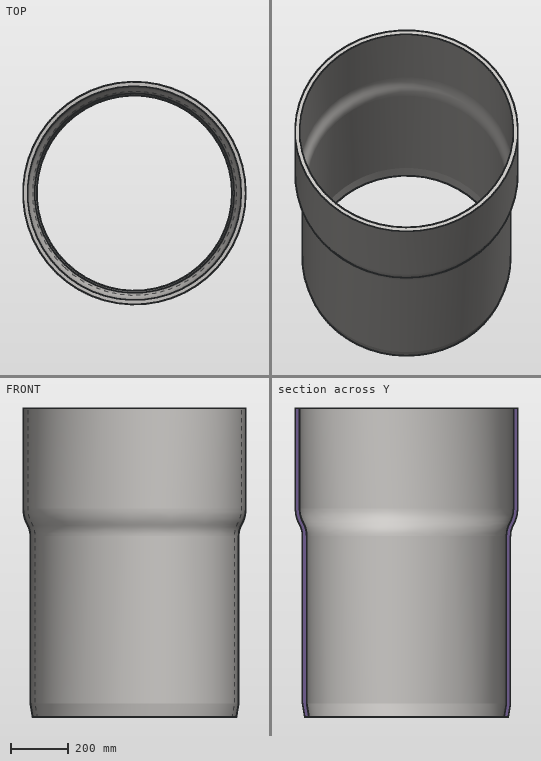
import cadquery as cq
import math

total_height = 1080.0
socket_outer_radius = 780.0 / 2
barrel_outer_radius = 730.0 / 2
wall = 16.0
socket_depth = 350.0
shoulder_radius = 120.0
neck_radius = 80.0
tip_taper_height = 47.0
tip_taper_inset = wall / 2

tip_outer_radius = barrel_outer_radius - tip_taper_inset

radius_step = socket_outer_radius - barrel_outer_radius
bend_angle = math.acos(1 - radius_step / (shoulder_radius + neck_radius))

shoulder_top = total_height - socket_depth
bend_height = (shoulder_radius + neck_radius) * math.sin(bend_angle)
neck_bottom = shoulder_top - bend_height
shoulder_center_radius = socket_outer_radius - shoulder_radius
neck_center_radius = barrel_outer_radius + neck_radius


def shoulder_point(arc_radius, angle):
    """Point on the shoulder bend, at an angle turned down from its top end."""
    return (
        shoulder_center_radius + arc_radius * math.cos(angle),
        shoulder_top - arc_radius * math.sin(angle),
    )


def neck_point(arc_radius, angle):
    """Point on the neck bend, at an angle turned up from its bottom end."""
    return (
        neck_center_radius - arc_radius * math.cos(angle),
        neck_bottom + arc_radius * math.sin(angle),
    )


def wall_profile():
    """Half section of the pipe wall in the radius-height plane."""
    half_bend = bend_angle / 2
    shoulder_inner = shoulder_radius - wall
    neck_inner = neck_radius + wall
    return (
        cq.Workplane("XZ")
        .moveTo(tip_outer_radius - wall, 0)
        .lineTo(tip_outer_radius, 0)
        .lineTo(barrel_outer_radius, tip_taper_height)
        .lineTo(*neck_point(neck_radius, 0))
        .threePointArc(neck_point(neck_radius, half_bend), neck_point(neck_radius, bend_angle))
        .threePointArc(shoulder_point(shoulder_radius, half_bend), shoulder_point(shoulder_radius, 0))
        .lineTo(socket_outer_radius, total_height)
        .lineTo(socket_outer_radius - wall, total_height)
        .lineTo(*shoulder_point(shoulder_inner, 0))
        .threePointArc(shoulder_point(shoulder_inner, half_bend), shoulder_point(shoulder_inner, bend_angle))
        .threePointArc(neck_point(neck_inner, half_bend), neck_point(neck_inner, 0))
        .lineTo(barrel_outer_radius - wall, tip_taper_height)
        .close()
    )


result = wall_profile().revolve(360, (0, 0, 0), (0, 1, 0))